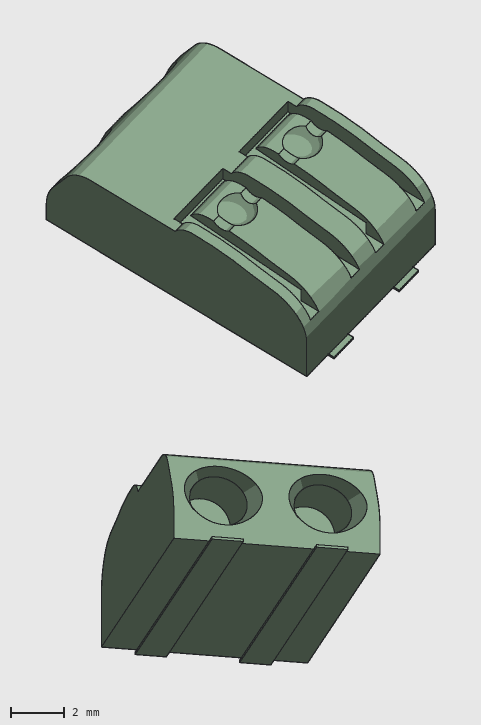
import cadquery as cq
import math

overall_length = 13.0
overall_height = 4.6
housing_width = 7.9
pole_pitch = 4.0
pole_offsets = (-pole_pitch / 2, pole_pitch / 2)

strip_width = 1.2
strip_thickness = 0.1
strip_front_reach = 0.5
strip_rear_reach = 0.25

housing_front = strip_front_reach
housing_rear = overall_length - strip_rear_reach
crown_height = overall_height - strip_thickness
deck_height = 4.0
nose_angle = math.radians(60)
nose_corner_height = 1.65
nose_lower_radius = 2.59
nose_upper_radius = 1.35
step_start = 6.56
step_radius = 1.0
crown_start = 7.41
crown_start_angle = math.radians(3.4)
crown_end = 10.19
rear_slope_angle = math.radians(10.4)
rear_slope_end = 11.19

wire_hole_diameter = 2.2
wire_hole_height = 2.0
wire_hole_depth = 3.9
funnel_width = 3.0
funnel_length = 3.32
funnel_mouth_height = 1.92
funnel_throat_distance = 1.08
funnel_throat_angle = math.radians(72)

pocket_start = 6.16
pocket_width = 3.0
lever_width = 2.0
lever_root = 11.75
pocket_rear_floor = 2.87
pocket_floor_angle = math.radians(5.2)

seat_position = 8.02
dimple_radius = 0.94
dimple_centre_height = 5.03
groove_radius = 0.48
groove_centre_height = 4.8


def side_profile():
    """Closed housing outline in the XZ plane, run from the front bottom corner over the top."""
    lower_tangent = nose_lower_radius * math.tan((math.pi / 2 - nose_angle) / 2)
    upper_tangent = nose_upper_radius * math.tan(nose_angle / 2)
    nose_top = housing_front + (deck_height - nose_corner_height) / math.tan(nose_angle)
    slope_x, slope_z = math.cos(nose_angle), math.sin(nose_angle)

    crown_start_height = crown_height - step_radius * (1 - math.cos(crown_start_angle))
    mean_angle = (crown_start_angle + rear_slope_angle) / 2
    crown_end_height = crown_start_height - (crown_end - crown_start) * math.tan(mean_angle)
    rear_slope_end_height = crown_end_height - (rear_slope_end - crown_end) * math.tan(rear_slope_angle)
    rear_radius = (housing_rear - rear_slope_end) / (1 - math.sin(rear_slope_angle))
    rear_arc_end_height = rear_slope_end_height - rear_radius * math.cos(rear_slope_angle)

    return (
        cq.Workplane("XZ")
        .moveTo(housing_front, 0)
        .lineTo(housing_front, nose_corner_height - lower_tangent)
        .tangentArcPoint(
            (housing_front + lower_tangent * slope_x, nose_corner_height + lower_tangent * slope_z),
            relative=False,
        )
        .lineTo(nose_top - upper_tangent * slope_x, deck_height - upper_tangent * slope_z)
        .tangentArcPoint((nose_top + upper_tangent, deck_height), relative=False)
        .lineTo(step_start, deck_height)
        .radiusArc((crown_start, crown_start_height), step_radius)
        .tangentArcPoint((crown_end, crown_end_height), relative=False)
        .lineTo(rear_slope_end, rear_slope_end_height)
        .tangentArcPoint((housing_rear, rear_arc_end_height), relative=False)
        .lineTo(housing_rear, 0)
        .close()
    )


def tilted_plane(x, y, z, angle):
    """Plane at the given angle above the horizontal, with its normal into the housing."""
    slope = (math.cos(angle), 0, math.sin(angle))
    inward = (math.sin(angle), 0, -math.cos(angle))
    return cq.Plane(origin=(x, y, z), xDir=slope, normal=inward)


def wire_entry(y):
    """Blind wire hole along X with a funnel narrowing from the sloping nose to the hole's wall."""
    hole_radius = wire_hole_diameter / 2
    throat_x = housing_front + funnel_throat_distance
    throat_plane = tilted_plane(throat_x, y, wire_hole_height, funnel_throat_angle)
    throat = cq.Workplane(throat_plane).ellipse(hole_radius / math.sin(funnel_throat_angle), hole_radius)
    mouth_x = housing_front + (funnel_mouth_height - nose_corner_height) / math.tan(nose_angle)
    mouth_plane = tilted_plane(mouth_x, y, funnel_mouth_height, nose_angle)
    mouth = cq.Workplane(mouth_plane).ellipse(funnel_length / 2, funnel_width / 2)
    funnel = cq.Solid.makeLoft([mouth.wire().val(), throat.wire().val()], True)

    hole = (
        cq.Workplane("YZ", origin=(housing_front, y, wire_hole_height))
        .circle(hole_radius)
        .extrude(wire_hole_depth)
    )
    return hole.union(cq.Workplane(funnel))


def lever_pocket(y):
    """Space around and below one lever; the lever stays joined to the housing behind its root."""
    front_floor = pocket_rear_floor + (lever_root - pocket_start) * math.tan(pocket_floor_angle)
    pocket = (
        cq.Workplane("XZ", origin=(0, y, 0))
        .moveTo(pocket_start, overall_height)
        .lineTo(pocket_start, front_floor)
        .lineTo(lever_root, pocket_rear_floor)
        .lineTo(overall_length, pocket_rear_floor)
        .lineTo(overall_length, overall_height)
        .close()
        .extrude(pocket_width / 2, both=True)
    )
    lever_root_height = deck_height - (lever_root - step_start) * math.tan(pocket_floor_angle)
    lever_block = (
        cq.Workplane("XZ", origin=(0, y, 0))
        .moveTo(step_start, overall_height)
        .lineTo(step_start, deck_height)
        .lineTo(lever_root, lever_root_height)
        .lineTo(lever_root, pocket_rear_floor)
        .lineTo(overall_length, pocket_rear_floor)
        .lineTo(overall_length, overall_height)
        .close()
        .extrude(lever_width / 2, both=True)
    )
    return pocket.cut(lever_block)


def tool_seat(y):
    """Dimple and cross groove in the top of one lever."""
    dimple = cq.Workplane("XY", origin=(seat_position, y, dimple_centre_height)).sphere(dimple_radius)
    groove = (
        cq.Workplane("XZ", origin=(seat_position, y, groove_centre_height))
        .circle(groove_radius)
        .extrude(lever_width / 2, both=True)
    )
    return dimple.union(groove)


def make_housing():
    body = side_profile().extrude(housing_width / 2, both=True)
    for y in pole_offsets:
        body = body.cut(wire_entry(y)).cut(lever_pocket(y)).cut(tool_seat(y))
    return body


def make_strip(y):
    return cq.Workplane("XY").box(
        overall_length, strip_width, strip_thickness, centered=(False, True, False)
    ).translate((0, y, -strip_thickness))


housing = make_housing()
strips = [make_strip(y) for y in pole_offsets]
result = cq.Compound.makeCompound([housing.val(), *[strip.val() for strip in strips]])